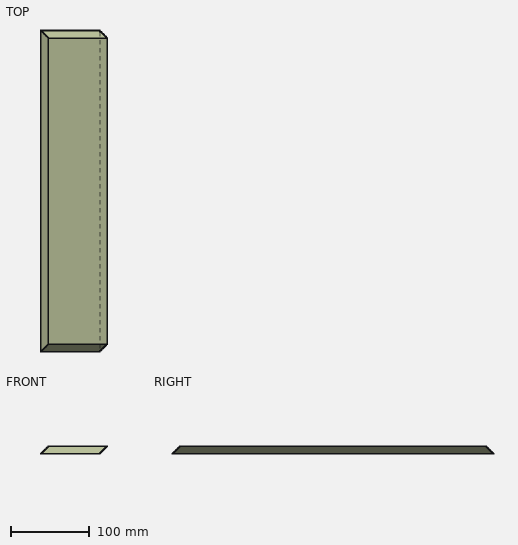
import cadquery as cq

overall_width = 84.5
length = 409.0
thickness = 10.0

bevel = thickness
face_width = overall_width - bevel


def slanted_bar():
    """Parallelogram section in XZ leaning toward +X, extruded along Y."""
    left = -overall_width / 2
    section = [
        (left, 0),
        (left + face_width, 0),
        (left + bevel + face_width, thickness),
        (left + bevel, thickness),
    ]
    return cq.Workplane("XZ").polyline(section).close().extrude(length / 2, both=True)


def mitred_envelope():
    """Trapezoid section in YZ, narrower at the top, spanning the bar's width."""
    half_length = length / 2
    section = [
        (-half_length, 0),
        (half_length, 0),
        (half_length - bevel, thickness),
        (-half_length + bevel, thickness),
    ]
    return cq.Workplane("YZ").polyline(section).close().extrude(overall_width / 2, both=True)


result = slanted_bar().intersect(mitred_envelope())